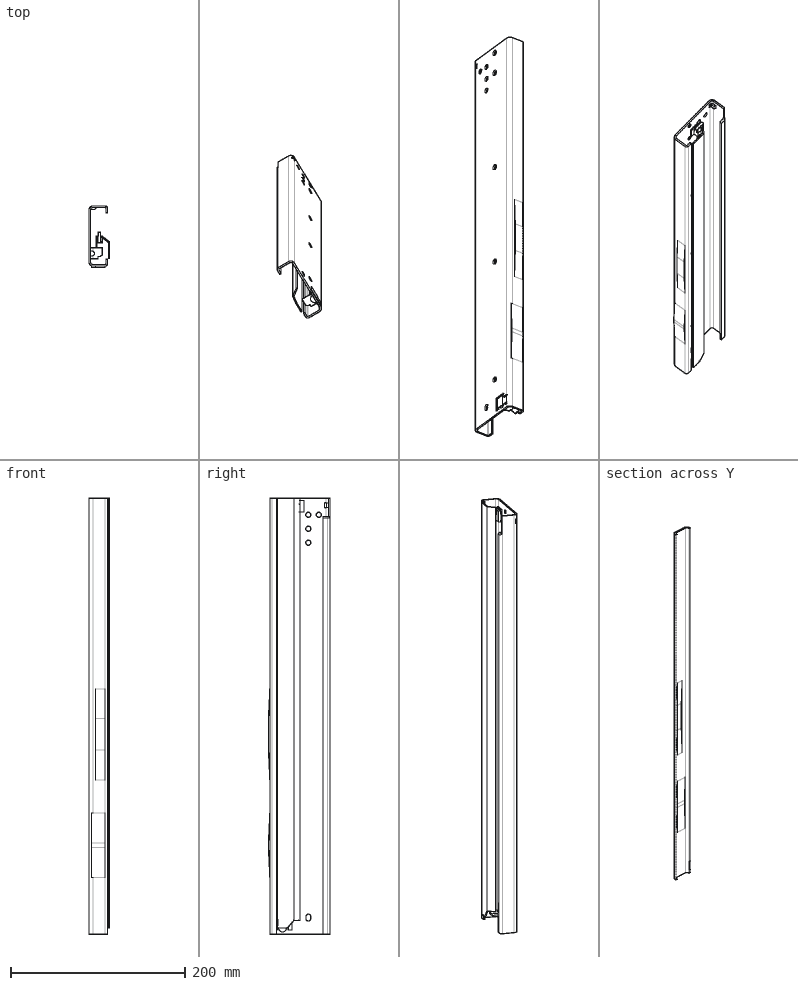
import cadquery as cq
import math

LENGTH = 500.0
WIDTH = 69.2
DEPTH = 21.5
SHEET = 2.0
WEB_BEND = 4.8
LIP_BEND = 2.8
LOWER_LIP_TOP = 8.0
UPPER_LIP_BOTTOM = 61.2
CLEAR = 1.0

HOLE_PITCH = 16.0
SCREW_ROW_Y = 28.2
PLAIN_ROW_Y = SCREW_ROW_Y + HOLE_PITCH
OFFSET_HOLE_Y = 56.2
TOP_SCREW_Z = 464.9
END_SCREW_Z = 491.9
SCREW_HOLES_Z = [END_SCREW_Z] + [TOP_SCREW_Z - drop * HOLE_PITCH for drop in (0, 8, 16, 26)]
PLAIN_HOLES_Z = [TOP_SCREW_Z + step * HOLE_PITCH for step in (-1, 0, 1)]
PLAIN_DIAMETER = 5.6
SCREW_DIAMETER = 4.2
SINK_DIAMETER = 6.4
SLOT_WIDTH = 5.2
SLOT_LENGTH = 7.8
SLOT_Z = 19.2

PAD_RISE = 1.6
PAD_RIGHT_X = DEPTH - LIP_BEND
PADS = [
    (3.0, 65.0, 99.5, 104.5, 139.0),
    (7.7, 177.0, 211.5, 247.5, 281.5),
]

WINDOW_BOTTOM_Z = 5.0
WINDOW_STEP_Z = 17.0
WINDOW_TOP_Z = 21.8
WINDOW_Y = (5.0, 11.6, 25.4)
TAB_Y = (8.4, 21.2)
TAB_TOP_Z = 10.0
TAB_END_X = 15.6
TAB_CORNER_X = 10.8
TAB_CORNER_Y = (10.9, 12.9)
TAB_BEND = TAB_TOP_Z - WINDOW_BOTTOM_Z
BEAD_Y = 14.6
BEAD_RADIUS = 3.2
BEAD_AXIS_Z = 8.0
BEAD_BOTTOM_Z = 2.0

LIP_CUT_X = 19.4
LIP_CUT_LENGTH = 24.0
LIP_CUT_RAMP = 3.0

STOP_Z = END_SCREW_Z
STOP_HEIGHT = 5.5
STOP_OPENING_Y = 63.0
STOP_REACH_Y = 65.0
STOP_END_X = 9.5
STOP_NOSE_X = 7.0
STOP_SLOT_DEPTH = 2.4

STRIP_OUTER_X = 24.0
STRIP_SHEET = 1.5
STRIP_BOTTOM_Z = 7.0
STRIP_LOW_Y = 9.0
STRIP_BEND_Y = 27.9
STRIP_TOP_Y = 34.4
STRIP_TOP_X = 15.5
STRIP_CUT_Y = 20.0
STRIP_CUT_Z = 16.0
HOOK_BOTTOM_Z = 484.0
HOOK_TOP_Z = 497.0
HOOK_X = (8.0, 15.5)
HOOK_Y = (26.8, STRIP_TOP_Y)
HOOK_TAPER = (2.5, 5.0)
HOOK_LEG_Y = 22.2
NIB_X = (10.6, 13.6)
NIB_TOP_Y = 39.0


def box(x_range, y_range, z_range):
    """Axis-aligned box between the given limits."""
    size = [high - low for low, high in (x_range, y_range, z_range)]
    corner = cq.Vector(x_range[0], y_range[0], z_range[0])
    return cq.Workplane(cq.Solid.makeBox(*size, corner))


def web_cylinder(diameter, y, z):
    """Cylinder along X that passes through the web only."""
    return cq.Workplane("YZ", origin=(-CLEAR, y, z)).circle(diameter / 2).extrude(SHEET + 2 * CLEAR)


def channel_outline(inset):
    """Closed rounded section of the channel, shrunk by inset."""
    low, high = inset, WIDTH - inset
    section = (
        cq.Workplane("XY")
        .moveTo(inset, low)
        .lineTo(DEPTH - inset, low)
        .lineTo(DEPTH - inset, high)
        .lineTo(inset, high)
        .close()
        .extrude(LENGTH)
    )
    section = section.edges("|Z and <X").fillet(WEB_BEND - inset)
    return section.edges("|Z and >X").fillet(LIP_BEND - inset)


def channel_profile():
    """Bent sheet section that is open between the two lips."""
    opening = box((DEPTH / 2, DEPTH + CLEAR), (LOWER_LIP_TOP, UPPER_LIP_BOTTOM), (0, LENGTH))
    return channel_outline(0).cut(channel_outline(SHEET)).cut(opening)


def pad_prism(pad, level_y, inner_y, inset):
    """Trapezoid of one pad in the YZ plane, run along X."""
    left_x, bottom_z, flat_bottom_z, flat_top_z, top_z = pad
    return (
        cq.Workplane("YZ", origin=(left_x + inset, 0, 0))
        .moveTo(inner_y, bottom_z)
        .lineTo(level_y + PAD_RISE, bottom_z)
        .lineTo(level_y, flat_bottom_z)
        .lineTo(level_y, flat_top_z)
        .lineTo(level_y + PAD_RISE, top_z)
        .lineTo(inner_y, top_z)
        .close()
        .extrude(PAD_RIGHT_X - left_x - 2 * inset)
    )


def add_pads(channel):
    """Press the pads outwards: a rise outside and a matching hollow inside."""
    for pad in PADS:
        channel = channel.union(pad_prism(pad, -PAD_RISE, SHEET / 2, 0))
        channel = channel.cut(pad_prism(pad, SHEET - PAD_RISE, SHEET + PAD_RISE, SHEET))
    return channel


def cut_web_holes(channel):
    for z in PLAIN_HOLES_Z:
        channel = channel.cut(web_cylinder(PLAIN_DIAMETER, PLAIN_ROW_Y, z))
    channel = channel.cut(web_cylinder(PLAIN_DIAMETER, OFFSET_HOLE_Y, PLAIN_HOLES_Z[-1]))
    sink_depth = (SINK_DIAMETER - SCREW_DIAMETER) / 2
    for z in SCREW_HOLES_Z:
        channel = channel.cut(web_cylinder(SCREW_DIAMETER, SCREW_ROW_Y, z))
        sink = cq.Solid.makeCone(
            SINK_DIAMETER / 2, SCREW_DIAMETER / 2, sink_depth,
            cq.Vector(0, SCREW_ROW_Y, z), cq.Vector(1, 0, 0),
        )
        channel = channel.cut(cq.Workplane(sink))
    slot = (
        cq.Workplane("YZ", origin=(-CLEAR, PLAIN_ROW_Y, SLOT_Z))
        .slot2D(SLOT_LENGTH, SLOT_WIDTH, 90)
        .extrude(SHEET + 2 * CLEAR)
    )
    return channel.cut(slot)


def folded_tab():
    """Sheet that leaves the web upwards and turns into +X, with one corner cut off."""
    low_y, high_y = TAB_Y
    inner = TAB_BEND - SHEET
    diagonal = math.sqrt(0.5)
    bend_x, bend_z = TAB_BEND, WINDOW_BOTTOM_Z
    tab = (
        cq.Workplane("XZ", origin=(0, high_y, 0))
        .moveTo(0, bend_z)
        .threePointArc(
            (bend_x - TAB_BEND * diagonal, bend_z + TAB_BEND * diagonal), (bend_x, TAB_TOP_Z)
        )
        .lineTo(TAB_END_X, TAB_TOP_Z)
        .lineTo(TAB_END_X, TAB_TOP_Z - SHEET)
        .lineTo(bend_x, TAB_TOP_Z - SHEET)
        .threePointArc(
            (bend_x - inner * diagonal, bend_z + inner * diagonal), (SHEET, bend_z)
        )
        .close()
        .extrude(high_y - low_y)
    )
    corner = (
        cq.Workplane("XY")
        .moveTo(TAB_CORNER_X, low_y)
        .lineTo(TAB_CORNER_X, TAB_CORNER_Y[0])
        .lineTo(TAB_CORNER_X + TAB_CORNER_Y[1] - TAB_CORNER_Y[0], TAB_CORNER_Y[0])
        .lineTo(TAB_END_X, TAB_CORNER_Y[1])
        .lineTo(TAB_END_X, low_y)
        .close()
        .extrude(TAB_TOP_Z)
    )
    return tab.cut(corner)


def bead_rod(radius):
    """Rod square across the tab bend, rising at 45 degrees from the web to the tab."""
    reach = TAB_END_X
    start = cq.Vector(-reach, BEAD_Y, BEAD_AXIS_Z - reach)
    length = 2 * reach * math.sqrt(2)
    return cq.Workplane(cq.Solid.makeCylinder(radius, length, start, cq.Vector(1, 0, 1)))


def add_window_and_tab(channel):
    low_y, step_y, high_y = WINDOW_Y
    window = box((-CLEAR, SHEET + CLEAR), (step_y, high_y), (WINDOW_BOTTOM_Z, WINDOW_TOP_Z))
    window = window.union(
        box((-CLEAR, SHEET + CLEAR), (low_y, step_y), (WINDOW_BOTTOM_Z, WINDOW_STEP_Z))
    )
    channel = channel.cut(window).union(folded_tab())
    inside_bend = box((SHEET, TAB_END_X), TAB_Y, (BEAD_BOTTOM_Z, TAB_TOP_Z - SHEET))
    shell = bead_rod(BEAD_RADIUS + SHEET).intersect(inside_bend)
    return channel.union(shell).cut(bead_rod(BEAD_RADIUS))


def cut_upper_lip(channel):
    """Remove the upper lip near the top end, with a sloped end to the cut."""
    cut_bottom = LENGTH - LIP_CUT_LENGTH
    cutter = (
        cq.Workplane("XZ", origin=(0, WIDTH + CLEAR, 0))
        .moveTo(LIP_CUT_X, LENGTH + CLEAR)
        .lineTo(LIP_CUT_X, cut_bottom + LIP_CUT_RAMP)
        .lineTo(DEPTH + CLEAR, cut_bottom)
        .lineTo(DEPTH + CLEAR, LENGTH + CLEAR)
        .close()
        .extrude(WIDTH / 2)
    )
    below_flange = box(
        (DEPTH / 2, DEPTH + CLEAR),
        (WIDTH / 2, WIDTH - SHEET),
        (cut_bottom + LIP_CUT_RAMP, LENGTH + CLEAR),
    )
    return channel.cut(cutter).cut(below_flange)


def add_stop(channel):
    """Opening through the upper bend and the sloped stop pressed in beside it."""
    half = STOP_HEIGHT / 2
    opening = box(
        (-CLEAR, STOP_SLOT_DEPTH),
        (STOP_OPENING_Y, WIDTH - SHEET),
        (STOP_Z - half, STOP_Z + half),
    )
    flange_inner_y = WIDTH - SHEET / 2
    stop = (
        cq.Workplane("XY", origin=(0, 0, STOP_Z - half))
        .moveTo(STOP_SLOT_DEPTH, flange_inner_y)
        .lineTo(STOP_SLOT_DEPTH, STOP_REACH_Y)
        .lineTo(STOP_NOSE_X, STOP_REACH_Y)
        .lineTo(STOP_END_X, flange_inner_y)
        .close()
        .extrude(STOP_HEIGHT)
    )
    return channel.cut(opening).union(stop)


def make_channel():
    channel = channel_profile()
    channel = add_pads(channel)
    channel = cut_web_holes(channel)
    channel = add_window_and_tab(channel)
    channel = cut_upper_lip(channel)
    return add_stop(channel)


def make_guide_strip():
    """Bent strip along the channel's open side, with a hook at its upper end."""
    strip_height = LENGTH - STRIP_BOTTOM_Z
    slope = math.atan2(STRIP_TOP_Y - STRIP_BEND_Y, STRIP_OUTER_X - STRIP_TOP_X)
    inner_x = STRIP_OUTER_X - STRIP_SHEET
    inner_top_x = STRIP_TOP_X - STRIP_SHEET * math.sin(slope)
    inner_top_y = STRIP_TOP_Y - STRIP_SHEET * math.cos(slope)
    inner_bend_y = STRIP_BEND_Y - STRIP_SHEET * math.tan(math.pi / 4 - slope / 2)
    strip = (
        cq.Workplane("XY", origin=(0, 0, STRIP_BOTTOM_Z))
        .moveTo(STRIP_OUTER_X, STRIP_LOW_Y)
        .lineTo(STRIP_OUTER_X, STRIP_BEND_Y)
        .lineTo(STRIP_TOP_X, STRIP_TOP_Y)
        .lineTo(inner_top_x, inner_top_y)
        .lineTo(inner_x, inner_bend_y)
        .lineTo(inner_x, STRIP_LOW_Y)
        .close()
        .extrude(strip_height)
    )
    cut_corner = (
        cq.Workplane("YZ")
        .moveTo(STRIP_CUT_Y, 0)
        .lineTo(STRIP_CUT_Y, STRIP_BOTTOM_Z)
        .lineTo(STRIP_BEND_Y, STRIP_CUT_Z)
        .lineTo(WIDTH, STRIP_CUT_Z)
        .lineTo(WIDTH, 0)
        .close()
        .extrude(STRIP_OUTER_X + CLEAR)
    )
    hook_z = (HOOK_BOTTOM_Z, HOOK_TOP_Z)
    taper_width, taper_height = HOOK_TAPER
    hook = box(HOOK_X, HOOK_Y, hook_z).faces(">Z").chamfer(taper_height, taper_width)
    hook = hook.union(box((HOOK_X[0], HOOK_X[0] + STRIP_SHEET), (HOOK_LEG_Y, HOOK_Y[1]), hook_z))
    hook = hook.union(box(NIB_X, (HOOK_Y[0], NIB_TOP_Y), hook_z))
    return strip.cut(cut_corner).union(hook)


channel = make_channel()
guide_strip = make_guide_strip()

result = cq.Compound.makeCompound([channel.solids().val(), guide_strip.solids().val()])